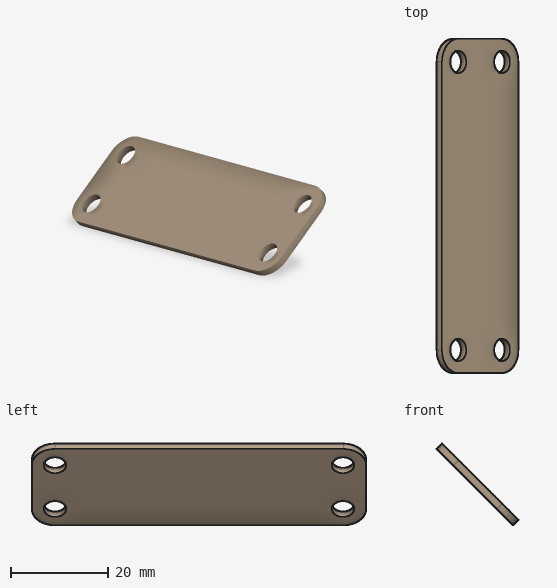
import cadquery as cq

plate_width = 22.225
plate_length = 68.66
plate_thickness = 1.5875
tilt_angle = 45.0

corner_radius = 4.7625
hole_diameter = 4.57
hole_spacing_x = plate_width - 2 * corner_radius
hole_spacing_y = plate_length - 2 * corner_radius


def make_flat_plate():
    """Plate with rounded corners, centred on the origin and lying in XY."""
    blank = cq.Workplane("XY").box(plate_width, plate_length, plate_thickness)
    return blank.edges("|Z").fillet(corner_radius)


def drill_corner_holes(plate):
    """Through holes concentric with the four rounded corners."""
    centres = plate.faces(">Z").workplane().rect(hole_spacing_x, hole_spacing_y, forConstruction=True)
    return centres.vertices().hole(hole_diameter)


flat_plate = drill_corner_holes(make_flat_plate())
result = flat_plate.rotate((0, 0, 0), (0, 1, 0), tilt_angle)